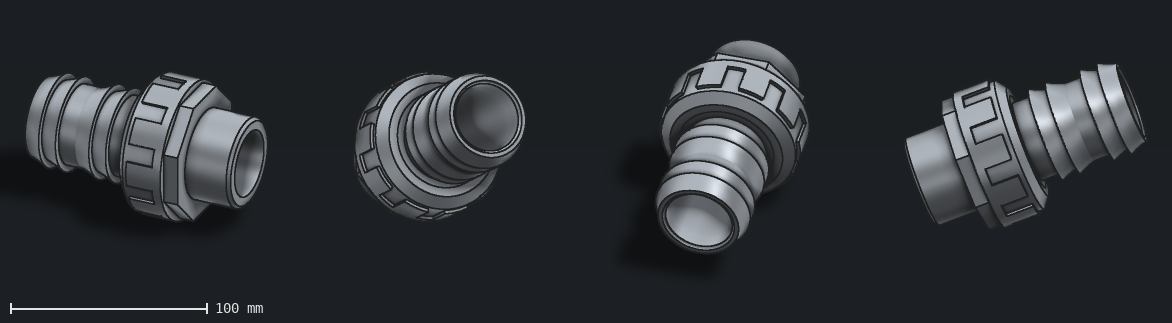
import cadquery as cq
import math

total_length = 116.0

bore_radius = 17.5
mouth_fillet = 1.4
tail_radius = 21.2
barb_radius = 24.9
barb_length = 9.4
barb_flank_radius = 49.9
barbs_per_group = 2
barb_group_starts = [0, 3 * barb_length]
collar_radius = barb_radius

nut_start = 57.0
nut_end = 83.3
nut_face_radius = 29.6
nut_body_radius = 35.3
nut_grip_radius = 37.0
nut_bevel_length = 4.3
grip_start = 64.0
notch_length = 14.4
notch_width = 9.4
notch_count = 10

flange_sides = 8
flange_across_flats = 65.3
flange_thickness = 7.8
spigot_radius = 24.0
spigot_chamfer = 1.7


def revolve_about_x(profile):
    """Turn a closed profile, drawn as (x, radius) in the XY plane, about the X axis."""
    return profile.close().revolve(360, (0, 0, 0), (1, 0, 0))


def make_hose_tail():
    profile = cq.Workplane("XY").moveTo(0, bore_radius + mouth_fillet)
    for group_start in barb_group_starts:
        profile = profile.lineTo(group_start, tail_radius)
        for barb in range(1, barbs_per_group + 1):
            barb_end = group_start + barb * barb_length
            profile = profile.radiusArc((barb_end, barb_radius), -barb_flank_radius)
            profile = profile.lineTo(barb_end, tail_radius)
    return revolve_about_x(
        profile.lineTo(nut_start, tail_radius)
        .lineTo(nut_start, collar_radius)
        .lineTo(nut_end, collar_radius)
        .lineTo(nut_end, bore_radius)
        .lineTo(mouth_fillet, bore_radius)
        .radiusArc((0, bore_radius + mouth_fillet), -mouth_fillet)
    )


def make_union_nut():
    bevel_end = nut_start + nut_bevel_length
    nut = revolve_about_x(
        cq.Workplane("XY")
        .moveTo(nut_start, collar_radius)
        .lineTo(nut_start, nut_face_radius)
        .lineTo(bevel_end, nut_body_radius)
        .lineTo(grip_start, nut_body_radius)
        .lineTo(grip_start, nut_grip_radius)
        .lineTo(nut_end, nut_grip_radius)
        .lineTo(nut_end, collar_radius)
    )
    notch = make_grip_notch()
    for index in range(notch_count):
        nut = nut.cut(notch.rotate((0, 0, 0), (1, 0, 0), index * 360 / notch_count))
    return nut


def make_grip_notch():
    """Straight-sided notch at the top of the grip, with its floor on the nut body's cylinder."""
    bar = cq.Workplane("XY", origin=(grip_start, 0, 0)).box(
        notch_length, notch_width, nut_grip_radius, centered=(False, True, False)
    )
    floor = cq.Workplane("YZ", origin=(grip_start, 0, 0)).circle(nut_body_radius).extrude(notch_length)
    return bar.cut(floor)


def make_threaded_end():
    flange_diameter = flange_across_flats / math.cos(math.pi / flange_sides)
    flange_end = nut_end + flange_thickness
    flange = (
        cq.Workplane("YZ", origin=(nut_end, 0, 0))
        .transformed(rotate=(0, 0, 180 / flange_sides))
        .polygon(flange_sides, flange_diameter)
        .circle(bore_radius)
        .extrude(flange_thickness)
    )
    spigot = revolve_about_x(
        cq.Workplane("XY")
        .moveTo(flange_end, bore_radius)
        .lineTo(flange_end, spigot_radius)
        .lineTo(total_length - spigot_chamfer, spigot_radius)
        .lineTo(total_length, spigot_radius - spigot_chamfer)
        .lineTo(total_length, bore_radius)
    )
    return flange.union(spigot)


hose_tail = make_hose_tail()
union_nut = make_union_nut()
threaded_end = make_threaded_end()

result = cq.Compound.makeCompound([hose_tail.val(), union_nut.val(), threaded_end.val()])